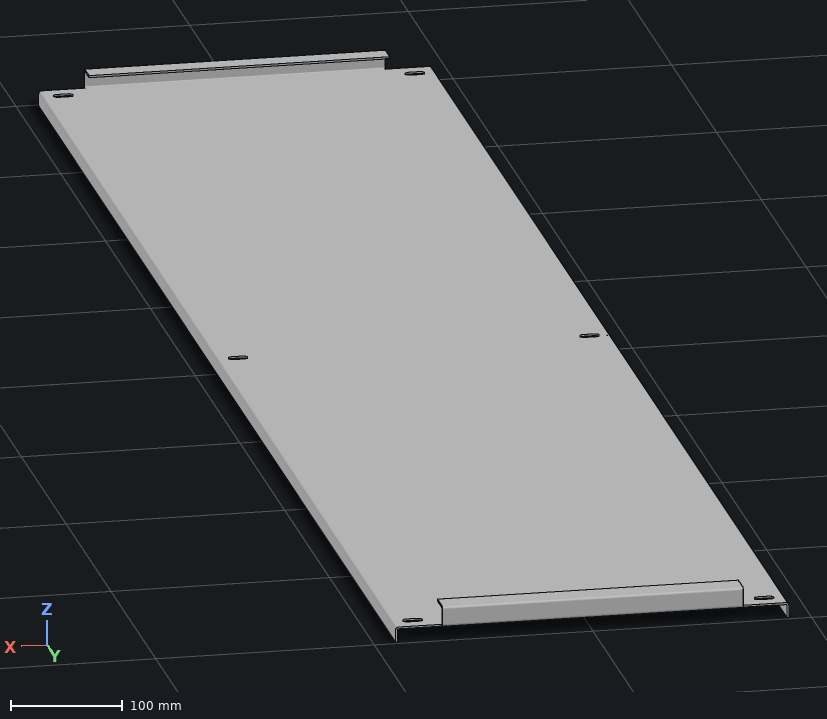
import cadquery as cq

length = 1600.0
width = 360.0
height = 32.0

sheet = 2.0
outer_bend = 2.9
inner_bend = outer_bend - sheet
plate_top = 15.0
plate_end_setback = 3.0

end_flange_width = 275.0
end_lip = 22.0

slot_inset = 20.0
corner_slot_end_inset = 20.0
slot_length = 18.0
corner_slot_width = 8.0
middle_slot_width = 8.0


def make_channel():
    """Flat panel with both long edges folded down."""
    panel_length = length - 2 * plate_end_setback
    outer = (
        cq.Workplane("XY")
        .box(width, panel_length, plate_top, centered=(True, True, False))
        .edges("|Y and >Z")
        .fillet(outer_bend)
    )
    cavity = (
        cq.Workplane("XY")
        .box(width - 2 * sheet, panel_length, plate_top - sheet, centered=(True, True, False))
        .edges("|Y and >Z")
        .fillet(inner_bend)
    )
    return outer.cut(cavity)


def make_end_flange():
    """Flange at the -Y end, folded up from the panel and returned inward."""
    plate_bottom = plate_top - sheet
    outer_face = -length / 2
    lip_end = outer_face + end_lip
    profile = (
        cq.Workplane("YZ", origin=(-end_flange_width / 2, 0, 0))
        .moveTo(lip_end, plate_bottom)
        .lineTo(outer_face + outer_bend, plate_bottom)
        .radiusArc((outer_face, plate_bottom + outer_bend), outer_bend)
        .lineTo(outer_face, height - outer_bend)
        .radiusArc((outer_face + outer_bend, height), outer_bend)
        .lineTo(lip_end, height)
        .lineTo(lip_end, height - sheet)
        .lineTo(outer_face + outer_bend, height - sheet)
        .radiusArc((outer_face + sheet, height - outer_bend), -inner_bend)
        .lineTo(outer_face + sheet, plate_bottom + outer_bend)
        .radiusArc((outer_face + outer_bend, plate_top), -inner_bend)
        .lineTo(lip_end, plate_top)
        .close()
    )
    return profile.extrude(end_flange_width)


def make_slots(y_places, slot_width):
    """Cutters for a pair of crosswise slots at each Y place."""
    slot_x = width / 2 - slot_inset
    centers = [(x, y) for x in (-slot_x, slot_x) for y in y_places]
    return (
        cq.Workplane("XY", origin=(0, 0, plate_top / 2))
        .pushPoints(centers)
        .slot2D(slot_length, slot_width)
        .extrude(plate_top)
    )


end_flange = make_end_flange()
corner_slot_y = length / 2 - corner_slot_end_inset

result = make_channel().union(end_flange).union(end_flange.mirror("XZ"))
result = result.cut(make_slots((-corner_slot_y, corner_slot_y), corner_slot_width))
result = result.cut(make_slots((0,), middle_slot_width))